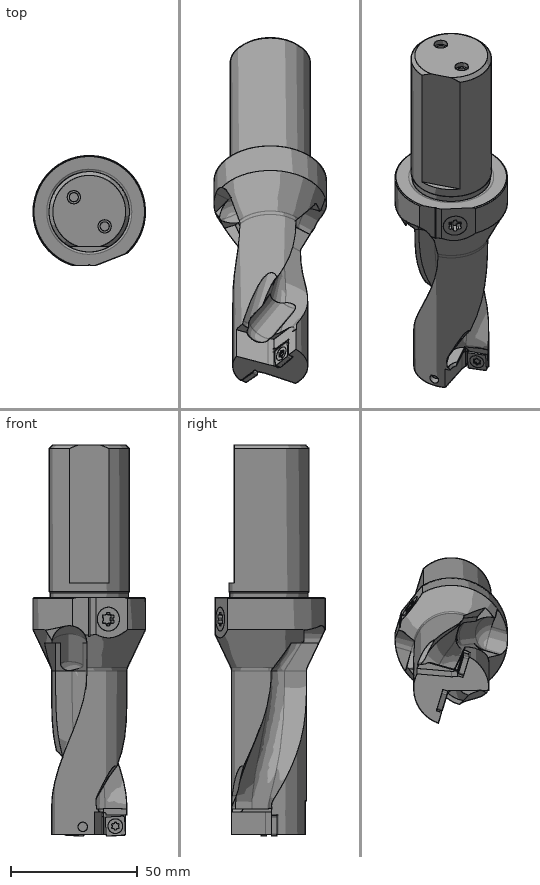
import cadquery as cq
import math

total_length = 154.5

shank_radius = 15.875
shank_length = 60.3
shank_chamfer = 1.5
shank_lower_chamfer = 0.4
shank_bottom = total_length - shank_length
neck_radius = 15.5
neck_height = 1.9
undercut_radius = 16.8
undercut_depth = 0.4
clamp_flat_distance = 13.8
clamp_flat_bottom = 100.0

collar_radius = 44.45 / 2
collar_bottom = 81.5
collar_chamfer = 0.4
front_flat_distance = 43.45 - collar_radius
plug_flat_distance = 20.7
plug_flat_angle = 21.4
index_groove_width = 0.5
index_groove_depth = 0.25

body_radius = 14.85
body_bottom = 0.6
cone_bottom = 66.0
cone_fillet = 3.4

flute_top = 65.3
flute_bottom = 10.8
twist_end = 14.0
twist_rate = 0.021
twist_exponent = 2.1
guide_steps = 16
flute_wall_x = -0.9
flute_radius = 5.9
flute_center_x = flute_wall_x - flute_radius
flute_center_y = -6.1
flute_floor_y = flute_center_y + flute_radius
flute_lip_x = -13.3
flute_lip_slope = 0.44
flute_reach = 26.0
runout_shift_y = -6.7
runout_rise = 10.9
runout_radius = 6.9
runout_wall_gap = 0.05
exit_slot_length = 12.0
exit_slot_angle = 12.0
ball_radius = 5.8
ball_center = (-1.5, 6.1, 15.9)
ball_start_z = 30.0
relief_radius = 6.0
outer_relief_end = (8.6, -14.5, 13.5)
inner_relief_end = (6.2, -12.5, 13.0)
relief_lean = 0.48
relief_rise = 24.0

coolant_x = 6.1
coolant_y = 5.75
coolant_radius = 1.8
coolant_mouth_radius = 2.6
coolant_mouth_depth = 2.0
coolant_depth = 20.0

outlet_x = -2.56
outlet_z = 3.7
outlet_radius = 1.85
outlet_depth = 3.0

insert_size = 7.6
insert_thickness = 2.2
insert_corner = 0.6
insert_tilt = 3.0
insert_face_y = 0.9
outer_insert_x = 10.3
inner_insert_x = 5.7
insert_screw_head_radius = 2.9
insert_screw_radius = 1.5
insert_screw_head_height = 1.4
insert_screw_length = 7.0
insert_socket_radius = 1.6
insert_socket_depth = 0.8
seat_clearance = 0.7
seat_relief_radius = 0.9
outer_gullet_top_x = 2.0
outer_gullet_foot_x = 4.75
outer_gullet_wall_height = 9.6
outer_land_height = 11.0
side_flat_x = 14.4
inner_gullet_top_x = -3.8
inner_gullet_foot_x = 0.3
inner_gullet_height = 13.9
gullet_bevel_width = 0.8
gullet_bevel_height = 2.2

tilt = math.radians(insert_tilt)
insert_center_z = (insert_size / 2 - insert_corner) * (math.cos(tilt) + math.sin(tilt)) + insert_corner
half_seat = insert_size / 2 + seat_clearance
seat_top = insert_center_z + half_seat

plug_z = 85.7
plug_radius = 4.7
plug_length = 8.0
plug_socket_radius = 2.7
plug_socket_depth = 3.5

lobe_count = 6
first_lobe_angle = 30.0

margin = 1.0


def block(x_range, y_range, z_range):
    size = [high - low for low, high in (x_range, y_range, z_range)]
    return cq.Workplane("XY").box(*size, centered=False).translate((x_range[0], y_range[0], z_range[0]))


def half_turn(shape):
    return shape.rotate((0, 0, 0), (0, 0, 1), 180)


def turned_blank():
    return (
        cq.Workplane("XZ")
        .moveTo(0, body_bottom)
        .lineTo(body_radius, body_bottom)
        .lineTo(body_radius, cone_bottom)
        .lineTo(collar_radius, collar_bottom)
        .lineTo(collar_radius, shank_bottom - collar_chamfer)
        .lineTo(collar_radius - collar_chamfer, shank_bottom)
        .lineTo(undercut_radius, shank_bottom)
        .lineTo(neck_radius, shank_bottom - undercut_depth)
        .lineTo(neck_radius, shank_bottom + neck_height)
        .lineTo(shank_radius, shank_bottom + neck_height + shank_lower_chamfer)
        .lineTo(shank_radius, total_length - shank_chamfer)
        .lineTo(shank_radius - shank_chamfer, total_length)
        .lineTo(0, total_length)
        .close()
        .revolve(360, (0, 0, 0), (0, 1, 0))
        .edges(cq.selectors.NearestToPointSelector((0, 0, cone_bottom)))
        .fillet(cone_fillet)
    )


def clamp_flat():
    return block(
        (-shank_radius, shank_radius),
        (-shank_radius - margin, -clamp_flat_distance),
        (clamp_flat_bottom, total_length + margin),
    )


def collar_flat(distance, angle):
    flat = block(
        (-collar_radius, collar_radius),
        (-collar_radius - margin, -distance),
        (cone_bottom, shank_bottom),
    )
    return flat.rotate((0, 0, 0), (0, 0, 1), angle)


def index_groove():
    return (
        cq.Workplane("XY", origin=(0, -front_flat_distance, cone_bottom))
        .rect(index_groove_width, 2 * index_groove_depth)
        .extrude(shank_bottom - cone_bottom)
    )


def flute_profile(z):
    """Section of the flute: side wall, round corner, floor and a lip that falls off outwards."""
    fillet_offset = flute_radius * math.sqrt(0.5)
    return (
        cq.Workplane("XY", origin=(0, 0, z))
        .moveTo(flute_wall_x, -flute_reach)
        .lineTo(flute_wall_x, flute_center_y)
        .threePointArc(
            (flute_center_x + fillet_offset, flute_center_y + fillet_offset),
            (flute_center_x, flute_floor_y),
        )
        .lineTo(flute_lip_x, flute_floor_y)
        .lineTo(-flute_reach, flute_floor_y - flute_lip_slope * (flute_reach + flute_lip_x))
        .lineTo(-flute_reach, -flute_reach)
        .close()
    )


def flute_twist(z):
    """Turn of the flute in radians: it grows steadily faster below the flute top, then stays constant."""
    return math.radians(twist_rate * (flute_top - max(z, twist_end)) ** twist_exponent)


def twisted_flute():
    """Flute section swept down the axis while a guide curve turns it."""
    guide_points = []
    for step in range(guide_steps + 1):
        z = flute_top + (flute_bottom - flute_top) * step / guide_steps
        twist = flute_twist(z)
        guide_points.append(cq.Vector(-flute_reach * math.cos(twist), flute_reach * math.sin(twist), z))
    guide = cq.Edge.makeSpline(guide_points)
    spine = cq.Edge.makeLine(cq.Vector(0, 0, flute_top), cq.Vector(0, 0, flute_bottom))
    profile = flute_profile(flute_top).val()
    return cq.Workplane(cq.Solid.sweep(profile, [], spine, mode=guide))


def capsule(radius, start, end):
    """Round-ended bore between two points, made as one revolved solid."""
    length = (end - start).Length
    half_chord = radius * math.sqrt(0.5)
    along = end - start
    across = along.cross(cq.Vector(0, 0, 1))
    return (
        cq.Workplane(cq.Plane(start, along, across))
        .moveTo(-radius, 0)
        .threePointArc((-half_chord, half_chord), (0, radius))
        .lineTo(length, radius)
        .threePointArc((length + half_chord, half_chord), (length + radius, 0))
        .close()
        .revolve(360, (0, 0, 0), (1, 0, 0))
    )


def flute_runout():
    """Upper end of the flute: it climbs outwards through the cone and leaves the collar sideways."""
    start = cq.Vector(
        flute_wall_x - runout_wall_gap - runout_radius,
        flute_floor_y - runout_wall_gap - runout_radius,
        flute_top,
    )
    rise = cq.Vector(0, runout_shift_y, runout_rise)
    end = start + rise
    face = cq.Face.makeFromWires(flute_profile(flute_top).val())
    side_opening = cq.Workplane(cq.Solid.extrudeLinear(face, rise))
    slot_angle = math.radians(exit_slot_angle)
    slot_center = end - cq.Vector(math.cos(slot_angle), 0, math.sin(slot_angle)) * (exit_slot_length / 2)
    exit_slot = (
        cq.Workplane("XZ", origin=slot_center)
        .slot2D(exit_slot_length + 2 * runout_radius, 2 * runout_radius, exit_slot_angle)
        .extrude(flute_reach)
    )
    return [side_opening, capsule(runout_radius, start, end), exit_slot]


def ball_gullet():
    """Ball-nosed bore that leads from the inner insert up into its flute."""
    radius = math.hypot(flute_center_x, flute_center_y)
    angle = math.atan2(flute_center_y, flute_center_x) - flute_twist(ball_start_z)
    start = cq.Vector(radius * math.cos(angle), radius * math.sin(angle), ball_start_z)
    return capsule(ball_radius, start, cq.Vector(*ball_center))


def edge_relief(end_point):
    """Ball-nosed cut that widens the lower end of a flute along its trailing edge."""
    end = cq.Vector(*end_point)
    return capsule(relief_radius, end + cq.Vector(relief_lean, 0, 1) * relief_rise, end)


def coolant_hole(x, y):
    shank_end = cq.Workplane("XY", origin=(x, y, total_length))
    mouth = shank_end.circle(coolant_mouth_radius).extrude(-coolant_mouth_depth)
    bore = shank_end.circle(coolant_radius).extrude(-coolant_depth)
    return mouth.union(bore)


def coolant_outlet():
    outlet_y = -math.sqrt(body_radius**2 - outlet_x**2)
    return (
        cq.Workplane("XZ", origin=(outlet_x, outlet_y + outlet_depth, outlet_z))
        .circle(outlet_radius)
        .extrude(2 * outlet_depth)
    )


def gullet_cut(wall_top_x, wall_foot_x, wall_height, land_height):
    """Open corner in front of an insert: a leaning side wall and a land that reaches above it."""
    corner = (
        cq.Workplane("XY", origin=(0, 0, -margin))
        .moveTo(wall_foot_x, insert_face_y - gullet_bevel_height)
        .lineTo(wall_foot_x + gullet_bevel_width, insert_face_y)
        .lineTo(collar_radius, insert_face_y)
        .lineTo(collar_radius, -body_radius)
        .lineTo(wall_top_x, -body_radius)
        .close()
        .extrude(wall_height + margin)
    )
    land = block(
        (wall_foot_x + gullet_bevel_width, collar_radius),
        (-collar_radius, insert_face_y),
        (-margin, land_height),
    )
    return corner.union(land)


def seat_cut(insert_x, end_x):
    """Pocket behind the insert, open at the drill tip, with a relieved inner corner."""
    seat_start = insert_x - half_seat
    seat_back = insert_face_y + insert_thickness
    seat = block((seat_start, end_x), (insert_face_y, seat_back), (-margin, seat_top))
    corner_relief = (
        cq.Workplane("XZ", origin=(seat_start, seat_back, seat_top))
        .circle(seat_relief_radius)
        .extrude(insert_thickness)
    )
    return seat.union(corner_relief)


def side_clearance():
    """Flat on the drill body beside the outer insert."""
    return block((side_flat_x, collar_radius), (-body_radius, body_radius), (-margin, seat_top))


def socket(radius, depth):
    """Six-lobed drive recess sunk from Z = 0 downwards."""
    lobe_radius = radius / 4
    core_radius = radius - lobe_radius
    recess = cq.Workplane("XY").circle(core_radius).extrude(-depth)
    lobe_centers = cq.Workplane("XY").polarArray(core_radius, first_lobe_angle, 360, lobe_count)
    lobes = lobe_centers.circle(lobe_radius).extrude(-depth)
    return recess.union(lobes)


def place_on_insert(shape, insert_x):
    """Move a part modelled along Z so that its top lies in the front face of an insert."""
    return shape.rotate((0, 0, 0), (1, 0, 0), 90).translate((insert_x, insert_face_y, insert_center_z))


def screw_envelope():
    """Countersunk screw without its drive recess, with the head face at Z = 0."""
    return (
        cq.Workplane("XZ")
        .lineTo(insert_screw_head_radius, 0)
        .lineTo(insert_screw_radius, -insert_screw_head_height)
        .lineTo(insert_screw_radius, -insert_screw_length)
        .lineTo(0, -insert_screw_length)
        .close()
        .revolve(360, (0, 0, 0), (0, 1, 0))
    )


def make_insert_screw(insert_x):
    screw = screw_envelope().cut(socket(insert_socket_radius, insert_socket_depth))
    return place_on_insert(screw, insert_x)


def make_insert(insert_x):
    plate = (
        cq.Workplane("XY")
        .rect(insert_size, insert_size)
        .extrude(-insert_thickness)
        .edges("|Z")
        .fillet(insert_corner)
        .rotate((0, 0, 0), (0, 0, 1), insert_tilt)
        .cut(screw_envelope())
    )
    return place_on_insert(plate, insert_x)


def place_plug(shape):
    return (
        shape.rotate((0, 0, 0), (1, 0, 0), 90)
        .translate((0, -plug_flat_distance, plug_z))
        .rotate((0, 0, 0), (0, 0, 1), plug_flat_angle)
    )


def plug_envelope():
    return cq.Workplane("XY").circle(plug_radius).extrude(-plug_length)


def make_plug():
    return place_plug(plug_envelope().cut(socket(plug_socket_radius, plug_socket_depth)))


def make_holder():
    holder = turned_blank().cut(clamp_flat())
    holder = holder.cut(collar_flat(front_flat_distance, 0))
    holder = holder.cut(collar_flat(plug_flat_distance, plug_flat_angle))
    holder = holder.cut(index_groove())
    for tool in [twisted_flute(), *flute_runout()]:
        holder = holder.cut(tool).cut(half_turn(tool))
    holder = holder.cut(ball_gullet())
    holder = holder.cut(edge_relief(outer_relief_end))
    holder = holder.cut(half_turn(edge_relief(inner_relief_end)))
    for side in (1, -1):
        holder = holder.cut(coolant_hole(side * coolant_x, -side * coolant_y))
    holder = holder.cut(coolant_outlet())
    holder = holder.cut(
        gullet_cut(outer_gullet_top_x, outer_gullet_foot_x, outer_gullet_wall_height, outer_land_height)
    )
    holder = holder.cut(seat_cut(outer_insert_x, collar_radius))
    holder = holder.cut(side_clearance())
    inner_gullet = gullet_cut(
        inner_gullet_top_x, inner_gullet_foot_x, inner_gullet_height, inner_gullet_height
    )
    holder = holder.cut(half_turn(inner_gullet))
    holder = holder.cut(half_turn(seat_cut(inner_insert_x, inner_insert_x + half_seat)))
    holder = holder.cut(place_on_insert(screw_envelope(), outer_insert_x))
    holder = holder.cut(half_turn(place_on_insert(screw_envelope(), inner_insert_x)))
    return holder.cut(place_plug(plug_envelope()))


holder = make_holder()
outer_insert = make_insert(outer_insert_x)
outer_screw = make_insert_screw(outer_insert_x)
inner_insert = half_turn(make_insert(inner_insert_x))
inner_screw = half_turn(make_insert_screw(inner_insert_x))
plug = make_plug()

bodies = [holder, outer_insert, outer_screw, inner_insert, inner_screw, plug]
result = cq.Compound.makeCompound([body.solids().val() for body in bodies])